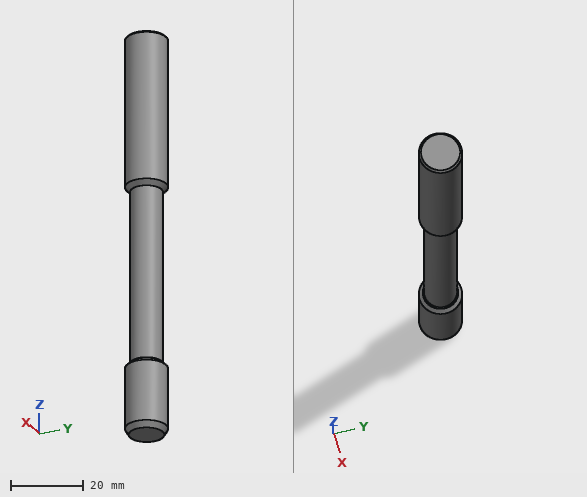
import cadquery as cq

total_length = 120.0
outer_radius = 6.0

shank_radius = 4.5
core_radius = 4.9
head_bottom = 73.5
head_top_chamfer = 0.6
head_bottom_chamfer = outer_radius - shank_radius

sleeve_length = 21.1
sleeve_wall = outer_radius - core_radius
sleeve_top_taper = sleeve_wall
sleeve_bottom_taper = 1.8


def revolve_profile(profile):
    """Full turn about the Z axis of a closed outline given as (radius, height) points."""
    return cq.Workplane("XZ").polyline(profile).close().revolve(360, (0, 0, 0), (0, 1, 0))


def make_pin():
    """Core, shank and head in one piece; 45 degree cones join the shank to both."""
    shank_bottom = sleeve_length + core_radius - shank_radius
    return revolve_profile([
        (0, 0),
        (core_radius, 0),
        (core_radius, sleeve_length),
        (shank_radius, shank_bottom),
        (shank_radius, head_bottom),
        (outer_radius, head_bottom + head_bottom_chamfer),
        (outer_radius, total_length - head_top_chamfer),
        (outer_radius - head_top_chamfer, total_length),
        (0, total_length),
    ])


def make_sleeve():
    """Ring around the core, tapering to the core's radius at its top and bottom."""
    return revolve_profile([
        (core_radius, 0),
        (outer_radius, sleeve_bottom_taper),
        (outer_radius, sleeve_length - sleeve_top_taper),
        (core_radius, sleeve_length),
    ])


pin = make_pin()
sleeve = make_sleeve()

result = cq.Compound.makeCompound([pin.val(), sleeve.val()])